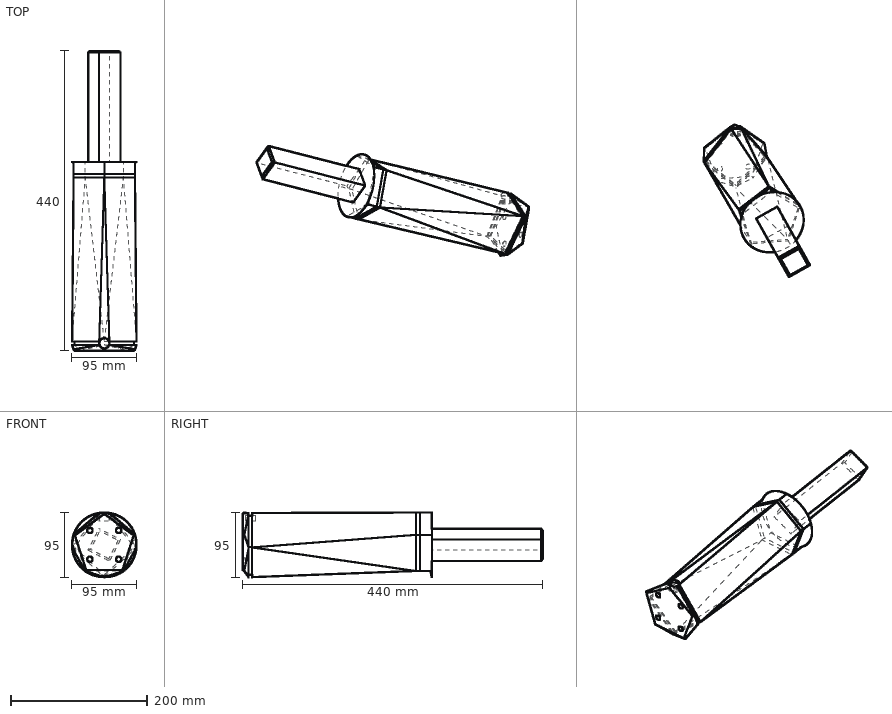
import cadquery as cq
import math

SIDES = 5
RADIUS = 47.5
APEX_ANGLE = 90.0
SIDE_ANGLE = 360.0 / SIDES

CAP_END = 0.0
BEVEL_END = 2.0
CAP_REAR = 9.0
GRIP_FRONT = 13.5
RING_FRONT = 254.0
COLLAR_FRONT = 259.5
FLARE_FRONT = 275.0
COLLAR_REAR = 277.0
BAR_REAR = 440.0

BEVEL_INSET = 1.8
NECK_RADIUS = 44.0

BAR_RADIUS = 50.0 / 2
BAR_SIDES = 4
BAR_TURN = 18.0
BAR_CHAMFER = 2.5

PIN_RADIUS = 15.0 / 2
PIN_Y = (CAP_REAR + GRIP_FRONT) / 2
PIN_BOTTOM = 35.0
PIN_TOP = 42.5

FACE_HOLE_RADIUS = 8.0 / 2
FACE_HOLE_SPACING = 42.2
FACE_HOLE_DEPTH = 4.0

PIN_HALF_ANGLE = math.degrees(math.asin(PIN_RADIUS / RADIUS))
GAP_SIDE_ANGLE = (360.0 - 2 * PIN_HALF_ANGLE) / (SIDES - 1)
PENTAGON_ANGLES = [APEX_ANGLE + i * SIDE_ANGLE for i in range(SIDES)]
GAP_ANGLES = [APEX_ANGLE + PIN_HALF_ANGLE + i * GAP_SIDE_ANGLE for i in range(SIDES)]


def polar_point(radius, angle, y):
    turn = math.radians(angle)
    return cq.Vector(radius * math.cos(turn), y, radius * math.sin(turn))


def corner_points(angles, y, radius=RADIUS):
    return [polar_point(radius, angle, y) for angle in angles]


def polygon_face(points):
    return cq.Face.makeFromWires(cq.Wire.makePolygon(points, close=True))


def prism(points, length):
    return cq.Workplane(cq.Solid.extrudeLinear(polygon_face(points), cq.Vector(0, length, 0)))


def faceted_transition(pentagon, gap_section):
    """Solid between a pentagon and the section at the gap, with triangles for its sides."""
    faces = [polygon_face(pentagon), polygon_face(gap_section)]
    for i in range(SIDES):
        following = (i + 1) % SIDES
        faces.append(polygon_face([pentagon[i], pentagon[following], gap_section[i]]))
        faces.append(polygon_face([gap_section[i], gap_section[following], pentagon[following]]))
    return cq.Workplane(cq.Solid.makeSolid(cq.Shell.makeShell(faces)).fix())


def ruled_loft(*wires):
    return cq.Workplane(cq.Solid.makeLoft(list(wires), True))


def pentagon_wire(y, radius=RADIUS):
    return cq.Wire.makePolygon(corner_points(PENTAGON_ANGLES, y, radius), close=True)


def circle_wire(y):
    """Circle split into one arc for each side of the pentagon."""
    arcs = []
    for start in PENTAGON_ANGLES:
        arc_angles = [start, start + SIDE_ANGLE / 2, start + SIDE_ANGLE]
        arcs.append(cq.Edge.makeThreePointArc(*corner_points(arc_angles, y)))
    return cq.Wire.assembleEdges(arcs)


def upright_cylinder(bottom, top):
    """Cylinder of the pin diameter at the place of the pin."""
    base = cq.Workplane("XY", origin=(0, PIN_Y, bottom))
    return base.circle(PIN_RADIUS).extrude(top - bottom)


def make_pin():
    return upright_cylinder(PIN_BOTTOM, PIN_TOP)


def make_pin_hole():
    """Hole for the pin, open at the top."""
    return upright_cylinder(PIN_BOTTOM, RADIUS)


def make_face_holes():
    """Four cones in a square, with their wide ends on the end face."""
    offset = FACE_HOLE_SPACING / 2
    cones = []
    for x in (-offset, offset):
        for z in (-offset, offset):
            mouth = cq.Vector(x, CAP_END, z)
            cones.append(
                cq.Solid.makeCone(FACE_HOLE_RADIUS, 0, FACE_HOLE_DEPTH, mouth, cq.Vector(0, 1, 0))
            )
    return cq.Workplane(cq.Compound.makeCompound(cones))


def make_cap(pin_hole):
    """Bevelled pentagon at the end face, changing to the section at the gap."""
    end_radius = RADIUS - BEVEL_INSET / math.cos(math.radians(SIDE_ANGLE / 2))
    bevel = ruled_loft(pentagon_wire(CAP_END, end_radius), pentagon_wire(BEVEL_END))
    transition = faceted_transition(
        corner_points(PENTAGON_ANGLES, BEVEL_END), corner_points(GAP_ANGLES, CAP_REAR)
    )
    return bevel.union(transition).cut(make_face_holes()).cut(pin_hole)


def make_neck(pin_hole):
    section = corner_points(GAP_ANGLES, CAP_REAR, NECK_RADIUS)
    return prism(section, GRIP_FRONT - CAP_REAR).cut(pin_hole)


def make_grip(pin_hole):
    """Pentagon at the ring, changing to the section at the gap."""
    transition = faceted_transition(
        corner_points(PENTAGON_ANGLES, RING_FRONT), corner_points(GAP_ANGLES, GRIP_FRONT)
    )
    return transition.cut(pin_hole)


def make_ring():
    return prism(corner_points(PENTAGON_ANGLES, RING_FRONT), COLLAR_FRONT - RING_FRONT)


def make_collar():
    """Pentagon with a short flare to a circle at its rear end."""
    body = prism(corner_points(PENTAGON_ANGLES, COLLAR_FRONT), FLARE_FRONT - COLLAR_FRONT)
    flare = ruled_loft(pentagon_wire(FLARE_FRONT), circle_wire(COLLAR_REAR))
    return body.union(flare)


def make_bar():
    angles = [BAR_TURN + i * 360.0 / BAR_SIDES for i in range(BAR_SIDES)]
    bar = prism(corner_points(angles, COLLAR_REAR, BAR_RADIUS), BAR_REAR - COLLAR_REAR)
    return bar.faces(">Y").chamfer(BAR_CHAMFER)


pin_hole = make_pin_hole()
pin = make_pin()
cap = make_cap(pin_hole)
neck = make_neck(pin_hole)
grip = make_grip(pin_hole)
ring = make_ring()
collar = make_collar()
bar = make_bar()

result = cq.Compound.makeCompound(
    [cap.val(), neck.val(), pin.val(), grip.val(), ring.val(), collar.val(), bar.val()]
)